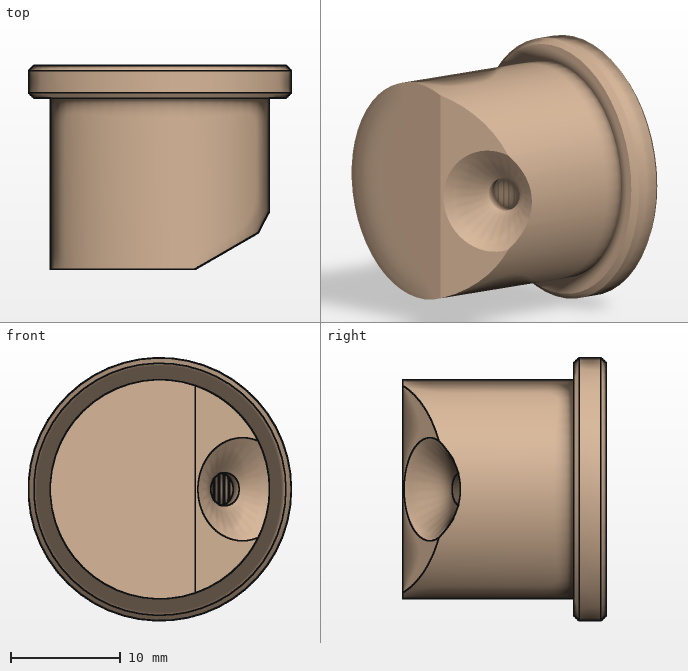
import cadquery as cq
import math

flange_diameter = 24.0
flange_thickness = 3.0
flange_chamfer = 0.5
body_diameter = 20.0
total_length = 18.6

flat_start_x = 3.22
flat_angle = 30.0

sink_center_x = 7.54
sink_diameter = 9.4
sink_angle = 90.0
hole_diameter = 3.0
hole_wall_length = 1.08

groove_count = 5
groove_pitch = 0.53
groove_width = 0.15
groove_depth = 0.15

body_radius = body_diameter / 2
slope = math.tan(math.radians(flat_angle))


def y_cylinder(diameter, y_start, length):
    """Cylinder on the Y axis, growing toward -Y from y_start."""
    return cq.Workplane("XZ", origin=(0, y_start, 0)).circle(diameter / 2).extrude(length)


def plug():
    """Chamfered flange with the cylindrical body in front of it."""
    flange = y_cylinder(flange_diameter, 0, flange_thickness).edges().chamfer(flange_chamfer)
    body = y_cylinder(body_diameter, -flange_thickness, total_length - flange_thickness)
    return flange.union(body)


def flat_cutter():
    """Wedge that leaves the slanted flat on the free end."""
    outer_x = flange_diameter / 2
    rise = (outer_x - flat_start_x) * slope
    return (
        cq.Workplane("XY")
        .moveTo(flat_start_x, -total_length)
        .lineTo(outer_x, -total_length)
        .lineTo(outer_x, -total_length + rise)
        .close()
        .extrude(body_radius, both=True)
    )


def hole_cutter():
    """Countersink, hole and floor grooves, square to the slanted flat."""
    sink_radius = sink_diameter / 2
    hole_radius = hole_diameter / 2
    wall_slope = math.tan(math.radians(sink_angle / 2))
    sink_depth = (sink_radius - hole_radius) / wall_slope
    floor_depth = sink_depth + hole_wall_length
    overrun = 2.4
    overrun_radius = sink_radius + overrun * wall_slope
    profile = (
        cq.Workplane("XY")
        .moveTo(0, overrun)
        .lineTo(overrun_radius, overrun)
        .lineTo(hole_radius, -sink_depth)
        .lineTo(hole_radius, -floor_depth)
        .lineTo(0, -floor_depth)
        .close()
    )
    cutter = profile.revolve(360, (0, 0, 0), (0, 1, 0))
    for index in range(groove_count):
        offset = (index - (groove_count - 1) / 2) * groove_pitch
        groove_length = 2 * math.sqrt(hole_radius**2 - (abs(offset) + groove_width / 2) ** 2)
        groove = cq.Workplane("XY").box(groove_width, 2 * groove_depth, groove_length)
        cutter = cutter.union(groove.translate((offset, -floor_depth, 0)))
    cutter = cutter.rotate((0, 0, 0), (0, 0, 1), flat_angle - 180)
    sink_center_y = -total_length + (sink_center_x - flat_start_x) * slope
    return cutter.translate((sink_center_x, sink_center_y, 0))


result = plug().cut(flat_cutter()).cut(hole_cutter())